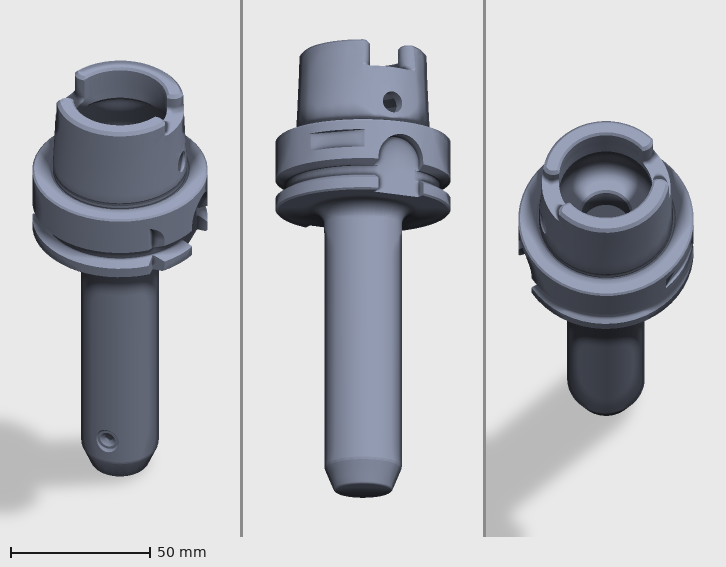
import cadquery as cq
import math


total_length = 162.0
taper_length = 32.0
tip_z = taper_length - total_length

rim_radius = 22.8
taper_base_radius = 24.1
relief_height = 2.1
relief_radius = 23.8
relief_flank_height = 0.6
face_groove_radius = 25.1
face_groove_depth = 0.5

flange_diameter = 63.0
flange_radius = flange_diameter / 2
flange_height = 26.1
flange_edge_chamfer = 0.6
groove_center_z = -18.1
groove_floor_width = 3.5
groove_floor_radius = 27.5
groove_flank_radius = 28.5
groove_flank_angle = 30.0

shank_radius = 14.0
shank_root_fillet = 5.0
tip_radius = 10.4
tip_cone_height = 8.6
tip_shoulder_fillet = 2.5
tip_edge_fillet = 1.0
pick_margin = 0.2

bore_mouth_radius = 16.8
bore_mouth_depth = 13.0
bore_radius = 19.3
bore_depth = 28.5
bore_floor_fillet = 3.4
bore_rim_chamfer = 0.8
center_hole_radius = 8.7
center_hole_depth = 9.7
center_hole_chamfer = 0.8

notch_width = 12.3
deep_notch_depth = 10.0
shallow_notch_depth = 6.0
notch_flare_radius = 3.7
notch_flare_x = 20.5
notch_floor_fillet = 1.3
rim_chamfer = 1.1

cross_hole_radius = 3.9
cross_hole_depth = 23.2

keyway_floor_offset = 26.5
wide_keyway_width = 18.0
narrow_keyway_width = 16.0
wide_keyway_top_z = -4.9
narrow_keyway_arc_z = -12.3

corner_floor_x = 19.8
corner_wall_y = -20.1

pocket_direction = 135.0
pocket_width = 20.5
pocket_height = 6.5
pocket_floor_offset = 29.3
pocket_center_z = -7.1

screw_height_above_tip = 18.0
screw_z = tip_z + screw_height_above_tip
screw_radius = 3.9
screw_countersink_radius = 4.9
socket_countersink_radius = 2.9
socket_across_flats = 3.0
socket_depth = 2.5
socket_sides = 6


def holder_body():
    """Outer shape turned around Z."""
    flank_height = (flange_radius - groove_flank_radius) * math.tan(math.radians(groove_flank_angle))
    groove_top = groove_center_z + groove_floor_width / 2
    groove_bottom = groove_center_z - groove_floor_width / 2
    fillet_end_z = -flange_height - shank_root_fillet
    fillet_mid = shank_root_fillet * (1 - math.sqrt(0.5))
    outline = (
        cq.Workplane("XZ")
        .moveTo(0, taper_length)
        .lineTo(rim_radius - rim_chamfer, taper_length)
        .lineTo(rim_radius, taper_length - rim_chamfer)
        .lineTo(taper_base_radius, relief_height)
        .lineTo(relief_radius, relief_height - relief_flank_height)
        .lineTo(relief_radius, relief_flank_height)
        .lineTo(taper_base_radius, 0)
        .lineTo(taper_base_radius, -face_groove_depth)
        .lineTo(face_groove_radius - face_groove_depth, -face_groove_depth)
        .lineTo(face_groove_radius, 0)
        .lineTo(flange_radius - flange_edge_chamfer, 0)
        .lineTo(flange_radius, -flange_edge_chamfer)
        .lineTo(flange_radius, groove_top + flank_height)
        .lineTo(groove_flank_radius, groove_top)
        .lineTo(groove_floor_radius, groove_top)
        .lineTo(groove_floor_radius, groove_bottom)
        .lineTo(groove_flank_radius, groove_bottom)
        .lineTo(flange_radius, groove_bottom - flank_height)
        .lineTo(flange_radius, -flange_height + flange_edge_chamfer)
        .lineTo(flange_radius - flange_edge_chamfer, -flange_height)
        .lineTo(shank_radius + shank_root_fillet, -flange_height)
        .threePointArc(
            (shank_radius + fillet_mid, -flange_height - fillet_mid),
            (shank_radius, fillet_end_z),
        )
        .lineTo(shank_radius, tip_z + tip_cone_height)
        .lineTo(tip_radius, tip_z)
        .lineTo(0, tip_z)
        .close()
    )
    body = outline.revolve(360, (0, 0, 0), (0, 1, 0))
    shoulder_z = tip_z + tip_cone_height
    shoulder = cq.selectors.BoxSelector(
        (-flange_radius, -flange_radius, shoulder_z - pick_margin),
        (flange_radius, flange_radius, shoulder_z + pick_margin),
        boundingbox=True,
    )
    body = body.edges(shoulder).fillet(tip_shoulder_fillet)
    return body.faces("<Z").edges().fillet(tip_edge_fillet)


def clamping_bore():
    """Stepped blind bore, widening behind its mouth, with a smaller hole in its floor."""
    floor_z = taper_length - bore_depth
    mouth_end_z = taper_length - bore_mouth_depth
    widening = bore_radius - bore_mouth_radius
    fillet_mid = bore_floor_fillet * (1 - math.sqrt(0.5))
    outline = (
        cq.Workplane("XZ")
        .moveTo(0, taper_length)
        .lineTo(bore_mouth_radius + bore_rim_chamfer, taper_length)
        .lineTo(bore_mouth_radius, taper_length - bore_rim_chamfer)
        .lineTo(bore_mouth_radius, mouth_end_z)
        .lineTo(bore_radius, mouth_end_z - widening)
        .lineTo(bore_radius, floor_z + bore_floor_fillet)
        .threePointArc(
            (bore_radius - fillet_mid, floor_z + fillet_mid),
            (bore_radius - bore_floor_fillet, floor_z),
        )
        .lineTo(center_hole_radius + center_hole_chamfer, floor_z)
        .lineTo(center_hole_radius, floor_z - center_hole_chamfer)
        .lineTo(center_hole_radius, floor_z - center_hole_depth)
        .lineTo(0, floor_z - center_hole_depth)
        .close()
    )
    return outline.revolve(360, (0, 0, 0), (0, 1, 0))


def notch_outline(base_z):
    """Plan of one drive notch on the +X side, flaring around the lobe corners."""
    half_width = notch_width / 2
    flare_start_x = notch_flare_x - notch_flare_radius
    flare_y = half_width + notch_flare_radius
    arc_mid = notch_flare_radius * math.sqrt(0.5)
    outer_x = 2 * taper_base_radius
    return (
        cq.Workplane("XY", origin=(0, 0, base_z))
        .moveTo(0, -half_width)
        .lineTo(flare_start_x, -half_width)
        .threePointArc((flare_start_x + arc_mid, arc_mid - flare_y), (notch_flare_x, -flare_y))
        .lineTo(notch_flare_x, -taper_base_radius)
        .lineTo(outer_x, -taper_base_radius)
        .lineTo(outer_x, taper_base_radius)
        .lineTo(notch_flare_x, taper_base_radius)
        .lineTo(notch_flare_x, flare_y)
        .threePointArc((flare_start_x + arc_mid, flare_y - arc_mid), (flare_start_x, half_width))
        .lineTo(0, half_width)
        .close()
    )


def drive_notch(side, depth):
    """Notch with a filleted floor and chamfered upper edges; side is -1 or +1 along X."""
    walls = notch_outline(taper_length - depth).extrude(depth)
    walls = walls.faces("<Z").edges().fillet(notch_floor_fillet)
    chamfers = notch_outline(taper_length - rim_chamfer).extrude(rim_chamfer, taper=-45)
    notch = walls.union(chamfers)
    return notch if side > 0 else notch.mirror("YZ")


def arched_cutter(x_start, x_end, y_center, arc_z, radius):
    """Slot along X with a round top, open below the flange."""
    bottom = -flange_height - radius
    outline = (
        cq.Workplane("YZ", origin=(x_start, y_center, 0))
        .moveTo(-radius, bottom)
        .lineTo(radius, bottom)
        .lineTo(radius, arc_z)
        .threePointArc((0, arc_z + radius), (-radius, arc_z))
        .close()
    )
    return outline.extrude(x_end - x_start)


def marking_pocket():
    """Shallow rectangular pocket with a flat floor, facing between -X and +Y."""
    depth = flange_radius
    block = cq.Workplane("XY").box(depth, pocket_width, pocket_height)
    block = block.translate((pocket_floor_offset + depth / 2, 0, pocket_center_z))
    return block.rotate((0, 0, 0), (0, 0, 1), pocket_direction)


def inward_cone(y_outer, outer_radius, inner_radius):
    """Countersink at 45 degrees on the screw's axis, narrowing toward +Y."""
    start = cq.Vector(0, y_outer, screw_z)
    direction = cq.Vector(0, 1, 0)
    depth = outer_radius - inner_radius
    return cq.Workplane(cq.Solid.makeCone(outer_radius, inner_radius, depth, start, direction))


def screw_recess():
    """Countersunk mouth down to the screw's end face, then its hexagon socket."""
    face_y = -shank_radius + screw_countersink_radius - screw_radius
    mouth = inward_cone(-shank_radius, screw_countersink_radius, screw_radius)
    socket_mouth = inward_cone(face_y, socket_countersink_radius, socket_across_flats / 2)
    socket = (
        cq.Workplane("XZ", origin=(0, face_y, screw_z))
        .polygon(socket_sides, socket_across_flats / math.cos(math.pi / socket_sides))
        .extrude(-socket_depth)
        .rotate((0, 0, screw_z), (0, 1, screw_z), 180 / socket_sides)
    )
    return mouth.union(socket_mouth).union(socket)


result = holder_body().cut(clamping_bore())

result = result.cut(drive_notch(-1, deep_notch_depth)).cut(drive_notch(1, shallow_notch_depth))

cross_hole = cq.Workplane("YZ", origin=(-flange_radius, 0, taper_length - cross_hole_depth))
result = result.cut(cross_hole.circle(cross_hole_radius).extrude(2 * flange_radius))

wide_radius = wide_keyway_width / 2
narrow_radius = narrow_keyway_width / 2
outside_x = 2 * flange_radius
flange_cutters = (
    arched_cutter(-outside_x, -keyway_floor_offset, 0, wide_keyway_top_z - wide_radius, wide_radius),
    arched_cutter(keyway_floor_offset, outside_x, 0, narrow_keyway_arc_z, narrow_radius),
    arched_cutter(
        corner_floor_x, outside_x, corner_wall_y - narrow_radius, narrow_keyway_arc_z, narrow_radius
    ),
)
for cutter in flange_cutters:
    result = result.cut(cutter)

result = result.cut(marking_pocket()).cut(screw_recess())